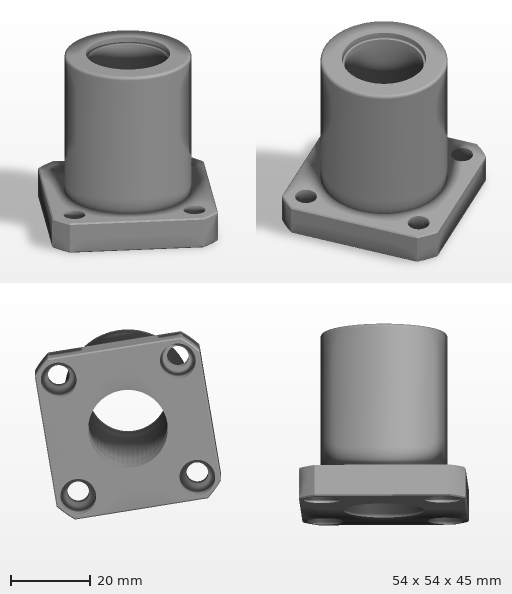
import cadquery as cq

total_height = 45.0
flange_height = 8.0
flange_corner_diameter = 53.95
flange_across_flats = 42.0
flange_chamfer = 0.3

sleeve_diameter = 32.0
sleeve_edge_radius = 0.8

bore_diameter = 20.0
entry_diameter = 21.2
entry_depth = 1.2
groove_diameter = 22.4
groove_width = 0.45

hole_count = 4
hole_circle_radius = 21.5
hole_diameter = 5.5
counterbore_diameter = 9.0
hole_land = 2.9
counterbore_depth = flange_height - hole_land


def cylinder(diameter, height, base_z=0):
    return cq.Workplane("XY").workplane(offset=base_z).circle(diameter / 2).extrude(height)


def make_flange():
    """Square plate with corners on the X and Y axes, trimmed by a cylinder."""
    square = (
        cq.Workplane("XY")
        .rect(flange_across_flats, flange_across_flats)
        .extrude(flange_height)
        .rotate((0, 0, 0), (0, 0, 1), 45)
    )
    plate = square.intersect(cylinder(flange_corner_diameter, flange_height))
    return plate.faces("<Z or >Z").chamfer(flange_chamfer)


def make_sleeve():
    sleeve = cylinder(sleeve_diameter, total_height)
    return sleeve.faces(">Z").edges().fillet(sleeve_edge_radius)


def make_mounting_holes():
    positions = cq.Workplane("XY").polarArray(hole_circle_radius, 0, 360, hole_count)
    holes = positions.circle(hole_diameter / 2).extrude(flange_height)
    positions = cq.Workplane("XY").polarArray(hole_circle_radius, 0, 360, hole_count)
    counterbores = positions.circle(counterbore_diameter / 2).extrude(counterbore_depth)
    return holes.union(counterbores)


bore = cylinder(bore_diameter, total_height)
groove_floor = total_height - entry_depth - groove_width
entry = cylinder(entry_diameter, total_height - groove_floor, groove_floor)
groove = cylinder(groove_diameter, groove_width, groove_floor)

body = make_flange().union(make_sleeve())
result = body.cut(bore).cut(entry).cut(groove).cut(make_mounting_holes())